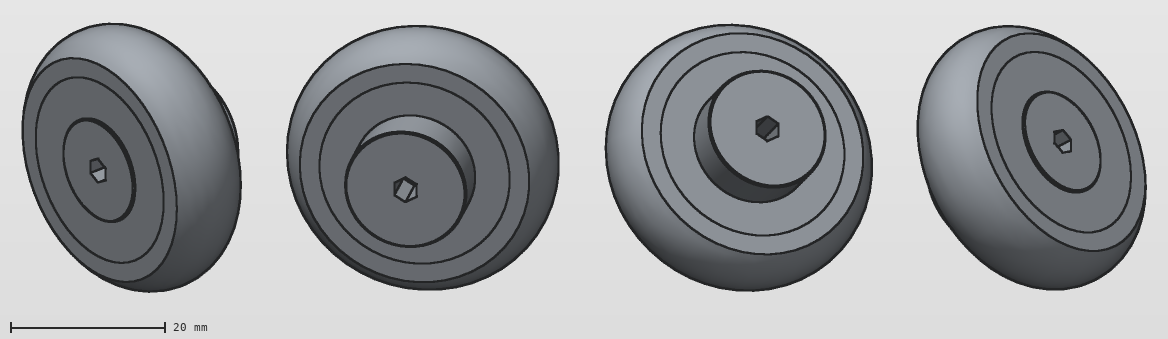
import cadquery as cq
import math


tire_diameter = 35.6
tire_width = 11.0
crown_radius = 7.0

core_diameter = 25.1

screw_diameter = 14.0
screw_projection = 0.3
hex_across_flats = 2.95

spacer_diameter = 16.0
spacer_length = 6.0

edge_chamfer = 0.2

front_face_y = -tire_width / 2
rear_face_y = tire_width / 2
hex_across_corners = hex_across_flats / math.cos(math.radians(30))


def cylinder(diameter, y_start, length):
    """Solid cylinder on the Y axis, running from y_start toward +Y."""
    plane = cq.Workplane("XZ", origin=(0, y_start, 0))
    return plane.circle(diameter / 2).extrude(-length)


def cut_hex_hole(body):
    """Hexagonal through hole on the Y axis, with corners at top and bottom."""
    hole_length = 4 * tire_width
    hexagon = (
        cq.Workplane("XZ")
        .transformed(rotate=(0, 0, 90))
        .polygon(6, hex_across_corners)
        .extrude(hole_length / 2, both=True)
    )
    return body.cut(hexagon)


def make_tire():
    """Ring with a crowned tread, revolved about the Y axis."""
    bore_radius = core_diameter / 2
    crown_drop = crown_radius - math.sqrt(crown_radius**2 - (tire_width / 2) ** 2)
    rim_radius = tire_diameter / 2 - crown_drop
    profile = (
        cq.Workplane("XY")
        .moveTo(bore_radius, front_face_y)
        .lineTo(rim_radius, front_face_y)
        .threePointArc((tire_diameter / 2, 0), (rim_radius, rear_face_y))
        .lineTo(bore_radius, rear_face_y)
        .close()
    )
    return profile.revolve(360, (0, 0, 0), (0, 1, 0))


def make_core():
    """Disc filling the tire, bored for the screw."""
    disc = cylinder(core_diameter, front_face_y, tire_width)
    bore = cylinder(screw_diameter, front_face_y, tire_width)
    return disc.cut(bore)


def make_screw():
    """Plain round screw through the core, proud at the front, with a hex drive."""
    head_y = front_face_y - screw_projection
    body = cylinder(screw_diameter, head_y, tire_width + screw_projection)
    return cut_hex_hole(body.faces("<Y").chamfer(edge_chamfer))


def make_spacer():
    """Collar against the rear of the wheel, chamfered on its free end."""
    body = cylinder(spacer_diameter, rear_face_y, spacer_length)
    return cut_hex_hole(body.faces(">Y").chamfer(edge_chamfer))


tire = make_tire()
core = make_core()
screw = make_screw()
spacer = make_spacer()

result = cq.Compound.makeCompound([tire.val(), core.val(), screw.val(), spacer.val()])